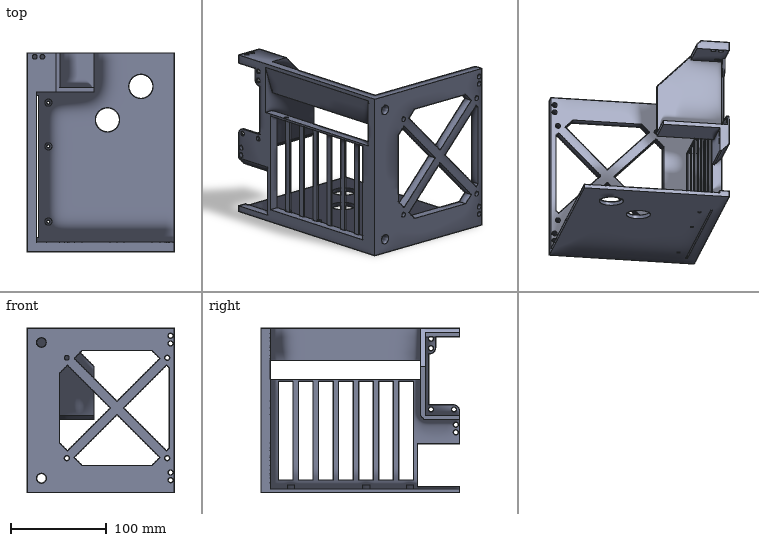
import cadquery as cq

WIDTH = 154.0
DEPTH = 208.0
HEIGHT = 172.0

WALL = 10.0
FLOOR = 4.0
SILL_HEIGHT = 6.3
SCREW_DIAMETER = 5.0

FAN_CENTER_X = 94.0
FAN_CENTER_Z = 88.5
FAN_SIZE = 120.0
FAN_HOLE_PITCH = 105.0
FAN_CORNER_LEG = 23.5
FAN_RIGHT_LIMIT = 148.5
BRACE_WIDTH = 10.0

ROD_DIAMETER = 10.0
ROD_INSET = 15.0
EDGE_SCREW_X = 150.0
EDGE_SCREW_HEIGHTS = (13.0, 21.0, 156.0, 164.0)

WINDOW_FRONT = WALL
WINDOW_BACK = 167.0
WINDOW_BOTTOM = 118.5
WINDOW_TOP = 168.0
LINTEL_DROP = 30.0

GRILLE_FRONT = 18.5
GRILLE_BOTTOM = 13.3
GRILLE_TOP = 116.3
BAR_COUNT = 6
BAR_WIDTH = 6.0
BAR_GAP = 15.0
BAR_DEPTH = 2.0
GRILLE_BACK = GRILLE_FRONT + BAR_COUNT * (BAR_GAP + BAR_WIDTH) + BAR_GAP
RAIL_HOLE_DIAMETER = 4.0
RAIL_HOLE_X = 4.0
RAIL_HOLE_Y = 139.0

BACK_EDGE = 175.8
TAB_BACK = 183.0
TAB_BOTTOM = 145.0
CORNER_RADIUS = 7.0
TOP_ARM_BOTTOM = 163.0
FLANGE_TOP = 92.0
FLANGE_BOTTOM = 51.0
FLANGE_CHAMFER = 8.0
FLANGE_THICKNESS = 2.0
NOTCH_FRONT = 164.0
FLANGE_HOLES = ((178, 161), (178, 151), (178, 87), (202, 87), (204, 71), (204, 63))

PLATE_FRONT = WINDOW_BACK
PLATE_THICKNESS = 5.0
PLATE_RIGHT = 70.0
PLATE_CHAMFER = 40.0
ARM_RIGHT = 34.3
SHELF_TOP = 80.4
SHELF_THICKNESS = 4.2
ARM_SCREWS = ((8, 204), (16, 204))

SLOT_WIDTH = 1.8
SLOT_FRONT = 15.2
SLOT_BACK = 163.4
CABLE_DIAMETER = 25.0
CABLE_HOLES = ((84, 138), (119, 173))
BOSS_DIAMETER = 7.5
BOSS_BORE = 3.0
BOSS_TOP = 8.0
BOSS_X = 22.2
BOSS_YS = (31.6, 110.3, 156.0)


def box(x0, x1, y0, y1, z0, z1):
    return cq.Workplane("XY").box(x1 - x0, y1 - y0, z1 - z0, centered=False).translate((x0, y0, z0))


def prism_along_x(points, x0, x1):
    return cq.Workplane("YZ", origin=(x0, 0, 0)).polyline(points).close().extrude(x1 - x0)


def prism_along_y(points, y0, y1):
    return cq.Workplane("XZ", origin=(0, y0, 0)).polyline(points).close().extrude(y0 - y1)


def pins_along_x(points, diameter, length):
    return cq.Workplane("YZ").pushPoints(points).circle(diameter / 2).extrude(length)


def pins_along_y(points, diameter, length):
    return cq.Workplane("XZ").pushPoints(points).circle(diameter / 2).extrude(-length)


def pins_along_z(points, diameter, z0, z1):
    return cq.Workplane("XY", origin=(0, 0, z0)).pushPoints(points).circle(diameter / 2).extrude(z1 - z0)


def fan_opening():
    half = FAN_SIZE / 2
    opening = (
        cq.Workplane("XZ").rect(FAN_SIZE, FAN_SIZE).extrude(-WALL).edges("|Y").chamfer(FAN_CORNER_LEG)
    )
    opening = opening.intersect(box(-half, FAN_RIGHT_LIMIT - FAN_CENTER_X, 0, WALL, -half, half))
    brace_length = 2 * FAN_SIZE
    for angle in (45, -45):
        brace = cq.Workplane("XZ").rect(brace_length, BRACE_WIDTH).extrude(-WALL)
        opening = opening.cut(brace.rotate((0, 0, 0), (0, 1, 0), angle))
    return opening.translate((FAN_CENTER_X, 0, FAN_CENTER_Z))


def front_wall():
    wall = box(0, WIDTH, 0, WALL, 0, HEIGHT).cut(fan_opening())
    half_pitch = FAN_HOLE_PITCH / 2
    screws = [(EDGE_SCREW_X, z) for z in EDGE_SCREW_HEIGHTS]
    for dx in (-half_pitch, half_pitch):
        for dz in (-half_pitch, half_pitch):
            screws.append((FAN_CENTER_X + dx, FAN_CENTER_Z + dz))
    rods = [(ROD_INSET, ROD_INSET), (ROD_INSET, HEIGHT - ROD_INSET)]
    wall = wall.cut(pins_along_y(screws, SCREW_DIAMETER, WALL))
    return wall.cut(pins_along_y(rods, ROD_DIAMETER, WALL))


def side_wall_blank():
    outline = (
        cq.Workplane("YZ")
        .moveTo(0, 0)
        .lineTo(DEPTH, 0)
        .lineTo(DEPTH, SILL_HEIGHT)
        .lineTo(NOTCH_FRONT, SILL_HEIGHT)
        .lineTo(NOTCH_FRONT, FLANGE_BOTTOM)
        .lineTo(DEPTH, FLANGE_BOTTOM)
        .lineTo(DEPTH, FLANGE_TOP - CORNER_RADIUS)
        .radiusArc((DEPTH - CORNER_RADIUS, FLANGE_TOP), -CORNER_RADIUS)
        .lineTo(BACK_EDGE, FLANGE_TOP)
        .lineTo(BACK_EDGE, TAB_BOTTOM)
        .radiusArc((TAB_BACK, TAB_BOTTOM + CORNER_RADIUS), -CORNER_RADIUS)
        .lineTo(TAB_BACK, TOP_ARM_BOTTOM)
        .lineTo(DEPTH, TOP_ARM_BOTTOM)
        .lineTo(DEPTH, HEIGHT)
        .lineTo(0, HEIGHT)
        .close()
    )
    return outline.extrude(WALL)


def upper_window():
    profile = [
        (0, WINDOW_BOTTOM),
        (WALL, WINDOW_BOTTOM),
        (WALL, WINDOW_TOP - LINTEL_DROP),
        (0, WINDOW_TOP),
    ]
    return prism_along_y(profile, WINDOW_FRONT, WINDOW_BACK)


def grille_opening():
    opening = box(0, WALL, GRILLE_FRONT, GRILLE_BACK, GRILLE_BOTTOM, GRILLE_TOP)
    for i in range(BAR_COUNT):
        front = GRILLE_FRONT + BAR_GAP + i * (BAR_GAP + BAR_WIDTH)
        bar = box(WALL - BAR_DEPTH, WALL, front, front + BAR_WIDTH, GRILLE_BOTTOM, GRILLE_TOP)
        opening = opening.cut(bar)
    return opening


def side_wall():
    wall = side_wall_blank().cut(upper_window()).cut(grille_opening())
    rail_hole = pins_along_z([(RAIL_HOLE_X, RAIL_HOLE_Y)], RAIL_HOLE_DIAMETER, GRILLE_TOP, WINDOW_BOTTOM)
    flange_chamfer = prism_along_y(
        [(0, FLANGE_BOTTOM), (FLANGE_CHAMFER, FLANGE_BOTTOM), (0, FLANGE_BOTTOM + FLANGE_CHAMFER)],
        NOTCH_FRONT,
        DEPTH,
    )
    recess = box(
        FLANGE_THICKNESS,
        WALL,
        PLATE_FRONT + PLATE_THICKNESS,
        DEPTH,
        SHELF_TOP,
        TOP_ARM_BOTTOM,
    )
    return wall.cut(rail_hole).cut(flange_chamfer).cut(recess)


def back_plate():
    shelf_bottom = SHELF_TOP - SHELF_THICKNESS
    outline = [
        (0, shelf_bottom),
        (PLATE_RIGHT, shelf_bottom),
        (PLATE_RIGHT, HEIGHT - PLATE_CHAMFER),
        (PLATE_RIGHT - PLATE_CHAMFER, HEIGHT),
        (0, HEIGHT),
    ]
    plate = prism_along_y(outline, PLATE_FRONT, PLATE_FRONT + PLATE_THICKNESS)
    arm_chamfer = ARM_RIGHT - (PLATE_RIGHT - PLATE_CHAMFER)
    arm = [
        (0, TOP_ARM_BOTTOM),
        (ARM_RIGHT, TOP_ARM_BOTTOM),
        (ARM_RIGHT, HEIGHT - arm_chamfer),
        (ARM_RIGHT - arm_chamfer, HEIGHT),
        (0, HEIGHT),
    ]
    shelf = box(0, PLATE_RIGHT, PLATE_FRONT, DEPTH, shelf_bottom, SHELF_TOP)
    bevel = prism_along_x(
        [
            (PLATE_FRONT, shelf_bottom),
            (PLATE_FRONT + SHELF_THICKNESS, shelf_bottom),
            (PLATE_FRONT, SHELF_TOP),
        ],
        WALL,
        PLATE_RIGHT,
    )
    return plate.union(prism_along_y(arm, PLATE_FRONT, DEPTH)).union(shelf).cut(bevel)


def floor():
    base = box(0, WIDTH, 0, DEPTH, 0, FLOOR)
    slot = box(WALL, WALL + SLOT_WIDTH, SLOT_FRONT, SLOT_BACK, 0, FLOOR)
    base = base.cut(slot).cut(pins_along_z(CABLE_HOLES, CABLE_DIAMETER, 0, FLOOR))
    bosses = [(BOSS_X, y) for y in BOSS_YS]
    base = base.union(pins_along_z(bosses, BOSS_DIAMETER, 0, BOSS_TOP))
    return base.cut(pins_along_z(bosses, BOSS_BORE, 0, BOSS_TOP))


body = floor().union(side_wall()).union(front_wall()).union(back_plate())
body = body.cut(pins_along_x(FLANGE_HOLES, SCREW_DIAMETER, WALL))
result = body.cut(pins_along_z(ARM_SCREWS, SCREW_DIAMETER, TOP_ARM_BOTTOM, HEIGHT))